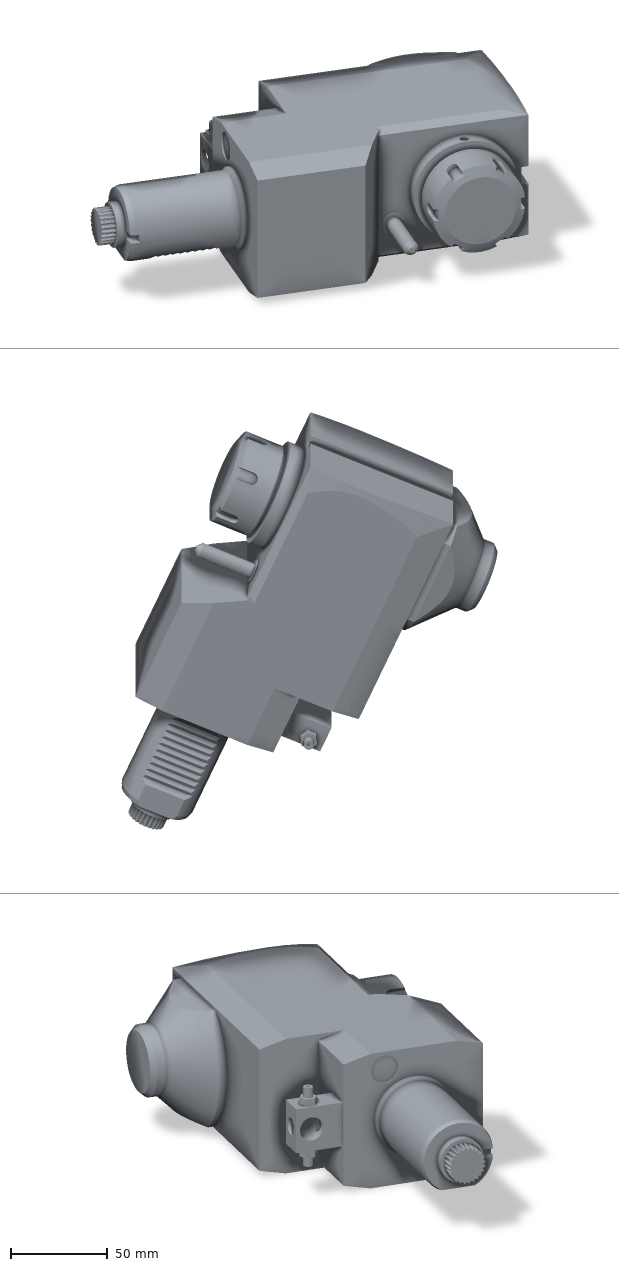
import cadquery as cq
import math


HEIGHT = 75.0
HALF_HEIGHT = HEIGHT / 2
BACK_Y = 156.0
STEP_Y = 35.0
HEAD_LEFT_X = -71.5
HEAD_RIGHT_X = 9.0
FOOT_HALF_WIDTH = 38.8
SHOULDER_HEAD_Y = 74.8
SHOULDER_FOOT_Y = 58.5
BEVEL_WIDTH = 14.8
BEVEL_DROP = 3.7
HEAD_RIGHT_BEVEL_WIDTH = 4.2
HEAD_RIGHT_BEVEL_DROP = 3.0
CROWN_LEFT_RADIUS = 439.0
CROWN_RIGHT_RADIUS = 173.2
CROWN_PEAK_X = -19.2
CROWN_DROP = 0.7
CROWN_TAPER = 0.18
KEYWAY_WIDTH = 10.0
KEYWAY_DEPTH = 3.7

SPINDLE_Y = 120.0

CAP_RADIUS = 40.0
CAP_RIM = 4.2
CAP_NECK_RADIUS = 19.2
CAP_NECK_LENGTH = 5.8
CAP_CHAMFER = 2.5
CAP_END_LENGTH = 2.8
CAP_HALF_HEIGHT = 32.3
CAP_FACET_SLOPE = 0.25
CAP_BACK_Y = 151.5

COLLAR_RADIUS = 28.2
COLLAR_END_X = 16.9
COLLAR_HOLE_X = 13.2
COLLAR_HOLE_RADIUS = 2.5
COLLAR_HOLE_DEPTH = 4.6
NECK_RADIUS = 21.7
NUT_RADIUS = 25.0
NUT_START_X = 18.5
NUT_BEVEL = 1.0
NUT_ROUND_X = 39.3
NUT_END_X = 41.5
NUT_FACE_RADIUS = 19.2
NUT_SLOT_COUNT = 6
NUT_SLOT_WIDTH = 6.5
NUT_SLOT_DEPTH = 2.8
NUT_SLOT_START_X = 28.5

PIN_Y = 83.0
PIN_Z = -17.3
PIN_RADIUS = 4.0
PIN_END_X = 41.3
PIN_CHAMFER = 2.3
PIN_COLLAR_RADIUS = 6.2
PIN_COLLAR_LENGTH = 0.7

SHANK_RADIUS = 20.0
SHANK_LENGTH = 62.8
SHANK_CHAMFER_LENGTH = 2.8
SHANK_CHAMFER = 1.0
FLANGE_RADIUS = 21.7
FLANGE_LENGTH = 1.8
FLANGE_TAPER_LENGTH = 1.5
JOURNAL_RADIUS = 12.0
JOURNAL_LENGTH = 4.6
SPLINE_RADIUS = 10.0
SPLINE_ROOT_RADIUS = 9.0
SPLINE_TEETH = 24
SPLINE_END_Y = -75.0
END_SLOT_WIDTH = 4.6
END_SLOT_DEPTH = 5.0
END_POCKET_WIDTH = 3.2
END_POCKET_OUTER_X = 14.8
END_POCKET_DEPTH = 7.5

FLAT_Z = -16.9
RAMP_START_Y = -5.8
TOOTH_ROOT_Z = -14.3
TOOTH_TIP_Z = -15.7
RACK_LENGTH = 36.0
TOOTH_COUNT = 9
TOOTH_PITCH = RACK_LENGTH / TOOTH_COUNT

RECESS_X = -16.0
RECESS_Z = 27.7
RECESS_RADIUS = 7.6
RECESS_DEPTH = 1.0

BLOCK_LEFT_X = -64.7
BLOCK_FRONT_Y = 1.5
BLOCK_BACK_Y = 15.7
BLOCK_HALF_HEIGHT = 12.2
PORT_X = -56.1
PORT_RADIUS = 6.5
PORT_DEPTH = 13.0
SIDE_PORT_Y = 8.8
SIDE_PORT_RADIUS = 4.6
SIDE_PORT_DEPTH = 17.3
DUCT_RADIUS = 1.5
DUCT_DEPTH = 3.5
SCREW_Y = 6.2
SCREW_RADIUS = 2.5
SCREW_OUTER_Z = 22.0
SCREW_NUT_DIAMETER = 9.2
SCREW_NUT_HEIGHT = 4.2
SOCKET_DIAMETER = 2.8
SOCKET_DEPTH = 1.8


def box(x0, x1, y0, y1, z0, z1):
    """Box between two opposite corners."""
    return cq.Workplane("XY").box(x1 - x0, y1 - y0, z1 - z0, centered=False).translate((x0, y0, z0))


def rod_x(radius, x0, x1, y, z):
    """Cylinder along X."""
    return cq.Workplane("YZ", origin=(x0, y, z)).circle(radius).extrude(x1 - x0)


def rod_y(radius, y0, y1, x, z):
    """Cylinder along Y."""
    return cq.Workplane("XZ", origin=(x, y1, z)).circle(radius).extrude(y1 - y0)


def bevelled_prism(left, right, right_bevel_width, right_bevel_drop, y0, y1):
    """Block along Y with bevelled long edges; only the right-hand bevels differ between blocks."""
    upper = [
        (left, HALF_HEIGHT - BEVEL_DROP),
        (left + BEVEL_WIDTH, HALF_HEIGHT),
        (right - right_bevel_width, HALF_HEIGHT),
        (right, HALF_HEIGHT - right_bevel_drop),
    ]
    lower = [(x, -z) for x, z in reversed(upper)]
    return cq.Workplane("XZ", origin=(0, y1, 0)).polyline(upper + lower).close().extrude(y1 - y0)


def crown_cone(radius, side):
    """Wide cone along Y whose top line, at the crown's peak, falls gently towards the rear."""
    center_z = side * (HALF_HEIGHT - CROWN_DROP - radius)
    cone = cq.Solid.makeCone(
        radius + CROWN_TAPER * BACK_Y,
        radius,
        BACK_Y,
        pnt=cq.Vector(CROWN_PEAK_X, 0, center_z),
        dir=cq.Vector(0, 1, 0),
    )
    return cq.Workplane(cone)


def crowned(head):
    """Round off the rear of the upper and lower faces, flatter left of the peak than right of it."""
    left = head.intersect(box(HEAD_LEFT_X, CROWN_PEAK_X, 0, BACK_Y, -HALF_HEIGHT, HALF_HEIGHT))
    right = head.intersect(box(CROWN_PEAK_X, HEAD_RIGHT_X, 0, BACK_Y, -HALF_HEIGHT, HALF_HEIGHT))
    for side in (1, -1):
        left = left.intersect(crown_cone(CROWN_LEFT_RADIUS, side))
        right = right.intersect(crown_cone(CROWN_RIGHT_RADIUS, side))
    return left.union(right)


def make_housing():
    head = bevelled_prism(
        HEAD_LEFT_X, HEAD_RIGHT_X, HEAD_RIGHT_BEVEL_WIDTH, HEAD_RIGHT_BEVEL_DROP, STEP_Y, BACK_Y
    )
    keyway_half = KEYWAY_WIDTH / 2
    keyway = box(HEAD_LEFT_X, HEAD_RIGHT_X, BACK_Y - KEYWAY_DEPTH, BACK_Y, -keyway_half, keyway_half)
    head = crowned(head).cut(keyway)

    foot = bevelled_prism(
        -FOOT_HALF_WIDTH, FOOT_HALF_WIDTH, BEVEL_WIDTH, BEVEL_DROP, 0, SHOULDER_HEAD_Y
    )
    shoulder_cut = (
        cq.Workplane("XY")
        .polyline(
            [
                (HEAD_RIGHT_X, SHOULDER_HEAD_Y),
                (FOOT_HALF_WIDTH, SHOULDER_FOOT_Y),
                (FOOT_HALF_WIDTH, SHOULDER_HEAD_Y),
            ]
        )
        .close()
        .extrude(HALF_HEIGHT, both=True)
    )
    recess = rod_y(RECESS_RADIUS, 0, RECESS_DEPTH, RECESS_X, RECESS_Z)
    return head.union(foot.cut(shoulder_cut)).cut(recess)


def revolve_about_spindle(outline):
    """Turn an (x, radius) outline, whose last side is the spindle axis."""
    return outline.close().revolve(360, (0, 0, 0), (1, 0, 0)).translate((0, SPINDLE_Y, 0))


def make_cap():
    """Conical rear cap, cut back by sloping facets above and below and trimmed flat at the back."""
    rim_x = HEAD_LEFT_X - CAP_RIM
    neck_x = rim_x - (CAP_RADIUS - CAP_NECK_RADIUS)
    chamfer_x = neck_x - CAP_NECK_LENGTH
    end_x = chamfer_x - CAP_END_LENGTH
    cap = revolve_about_spindle(
        cq.Workplane("XY").polyline(
            [
                (HEAD_LEFT_X, 0),
                (HEAD_LEFT_X, CAP_RADIUS),
                (rim_x, CAP_RADIUS),
                (neck_x, CAP_NECK_RADIUS),
                (chamfer_x, CAP_NECK_RADIUS),
                (end_x, CAP_NECK_RADIUS - CAP_CHAMFER),
                (end_x, 0),
            ]
        )
    )
    end_half_height = CAP_HALF_HEIGHT - CAP_FACET_SLOPE * (rim_x - end_x)
    upper = [(end_x, end_half_height), (rim_x, CAP_HALF_HEIGHT), (HEAD_LEFT_X, CAP_HALF_HEIGHT)]
    lower = [(x, -z) for x, z in reversed(upper)]
    envelope = cq.Workplane("XZ", origin=(0, CAP_BACK_Y, 0)).polyline(upper + lower).close()
    return cap.intersect(envelope.extrude(CAP_BACK_Y - SPINDLE_Y + CAP_RADIUS))


def nut_slot(angle):
    """Round-ended wrench slot, open at the nut's face."""
    half_width = NUT_SLOT_WIDTH / 2
    floor = NUT_RADIUS - NUT_SLOT_DEPTH
    end_center_x = NUT_SLOT_START_X + half_width
    slot = (
        cq.Workplane("XY", origin=(0, 0, floor))
        .moveTo(NUT_END_X, -half_width)
        .lineTo(end_center_x, -half_width)
        .threePointArc((NUT_SLOT_START_X, 0), (end_center_x, half_width))
        .lineTo(NUT_END_X, half_width)
        .close()
        .extrude(2 * NUT_SLOT_DEPTH)
    )
    return slot.rotate((0, 0, 0), (1, 0, 0), angle).translate((0, SPINDLE_Y, 0))


def make_collet_nut():
    """Collar, neck and slotted clamping nut on the spindle."""
    nose = revolve_about_spindle(
        cq.Workplane("XY")
        .moveTo(HEAD_RIGHT_X, 0)
        .lineTo(HEAD_RIGHT_X, COLLAR_RADIUS)
        .lineTo(COLLAR_END_X, COLLAR_RADIUS)
        .lineTo(COLLAR_END_X, NECK_RADIUS)
        .lineTo(NUT_START_X, NECK_RADIUS)
        .lineTo(NUT_START_X, NUT_RADIUS - NUT_BEVEL)
        .lineTo(NUT_START_X + NUT_BEVEL, NUT_RADIUS)
        .lineTo(NUT_ROUND_X, NUT_RADIUS)
        .lineTo(NUT_END_X, NUT_FACE_RADIUS)
        .lineTo(NUT_END_X, 0)
    )
    slot_spacing = 360 / NUT_SLOT_COUNT
    for index in range(NUT_SLOT_COUNT):
        nose = nose.cut(nut_slot((index + 0.5) * slot_spacing))
    spanner_hole = (
        cq.Workplane("XY", origin=(COLLAR_HOLE_X, SPINDLE_Y, COLLAR_RADIUS - COLLAR_HOLE_DEPTH))
        .circle(COLLAR_HOLE_RADIUS)
        .extrude(2 * COLLAR_HOLE_DEPTH)
    )
    return nose.cut(spanner_hole)


def make_pin():
    collar = rod_x(PIN_COLLAR_RADIUS, HEAD_RIGHT_X, HEAD_RIGHT_X + PIN_COLLAR_LENGTH, PIN_Y, PIN_Z)
    pin = rod_x(PIN_RADIUS, HEAD_RIGHT_X, PIN_END_X, PIN_Y, PIN_Z)
    return pin.faces(">X").chamfer(PIN_CHAMFER).union(collar)


def end_cut(outer_x, width, depth):
    """Cut into the end face of the shank, running outwards in +X from the journal."""
    return box(JOURNAL_RADIUS, outer_x, -SHANK_LENGTH, depth - SHANK_LENGTH, -width / 2, width / 2)


def make_shank():
    """Turned shank with its flange, end journal and splined tip."""
    chamfer_y = SHANK_CHAMFER_LENGTH - SHANK_LENGTH
    journal_y = -SHANK_LENGTH - JOURNAL_LENGTH
    shank = (
        cq.Workplane("XY")
        .polyline(
            [
                (0, 0),
                (FLANGE_RADIUS, 0),
                (FLANGE_RADIUS, -FLANGE_LENGTH),
                (SHANK_RADIUS, -FLANGE_LENGTH - FLANGE_TAPER_LENGTH),
                (SHANK_RADIUS, chamfer_y),
                (SHANK_RADIUS - SHANK_CHAMFER, -SHANK_LENGTH),
                (JOURNAL_RADIUS, -SHANK_LENGTH),
                (JOURNAL_RADIUS, journal_y),
                (0, journal_y),
            ]
        )
        .close()
        .revolve(360, (0, 0, 0), (0, 1, 0))
    )
    end_slot = end_cut(SHANK_RADIUS, END_SLOT_WIDTH, END_SLOT_DEPTH)
    end_pocket = end_cut(END_POCKET_OUTER_X, END_POCKET_WIDTH, END_POCKET_DEPTH)
    shank = shank.cut(end_slot).cut(end_pocket).cut(rack_cutter())
    return shank.union(spline_tip(journal_y))


def rack_cutter():
    """Material below the toothed flat: a 45 degree ramp, V teeth, then a plain flat."""
    clearance_z = -2 * SHANK_RADIUS
    first_root_y = RAMP_START_Y - (TOOTH_ROOT_Z + SHANK_RADIUS)
    points = [(RAMP_START_Y, clearance_z), (RAMP_START_Y, -SHANK_RADIUS)]
    for index in range(TOOTH_COUNT):
        root_y = first_root_y - index * TOOTH_PITCH
        points.append((root_y, TOOTH_ROOT_Z))
        points.append((root_y - TOOTH_PITCH / 2, TOOTH_TIP_Z))
    last_root_y = first_root_y - RACK_LENGTH
    points.append((last_root_y, TOOTH_ROOT_Z))
    points.append((last_root_y - (TOOTH_ROOT_Z - FLAT_Z), FLAT_Z))
    points.append((-SHANK_LENGTH, FLAT_Z))
    points.append((-SHANK_LENGTH, clearance_z))
    return cq.Workplane("YZ").polyline(points).close().extrude(SHANK_RADIUS, both=True)


def spline_tip(start_y):
    """Fine spline of flat-topped teeth at the end of the shank."""
    tooth_corners = [SPLINE_ROOT_RADIUS, SPLINE_RADIUS, SPLINE_RADIUS, SPLINE_ROOT_RADIUS]
    corner_count = SPLINE_TEETH * len(tooth_corners)
    points = []
    for index in range(corner_count):
        radius = tooth_corners[index % len(tooth_corners)]
        angle = 2 * math.pi * index / corner_count
        points.append((radius * math.cos(angle), radius * math.sin(angle)))
    tip = cq.Workplane("XZ", origin=(0, start_y, 0)).polyline(points).close()
    return tip.extrude(start_y - SPLINE_END_Y)


def clamping_screw(side):
    """Hexagon-socket screw with its nut, above (+1) or below (-1) the coolant block."""
    inner = cq.Workplane("XY", origin=(PORT_X, SCREW_Y, side * BLOCK_HALF_HEIGHT))
    outer = cq.Workplane("XY", origin=(PORT_X, SCREW_Y, side * SCREW_OUTER_Z))
    stud = inner.circle(SCREW_RADIUS).extrude(side * (SCREW_OUTER_Z - BLOCK_HALF_HEIGHT))
    socket = outer.polygon(6, SOCKET_DIAMETER).extrude(-side * SOCKET_DEPTH)
    nut = inner.polygon(6, SCREW_NUT_DIAMETER).extrude(side * SCREW_NUT_HEIGHT)
    return stud.cut(socket).union(nut)


def make_coolant_block():
    block = box(
        BLOCK_LEFT_X,
        -FOOT_HALF_WIDTH,
        BLOCK_FRONT_Y,
        BLOCK_BACK_Y,
        -BLOCK_HALF_HEIGHT,
        BLOCK_HALF_HEIGHT,
    )
    port = rod_y(PORT_RADIUS, BLOCK_FRONT_Y, BLOCK_FRONT_Y + PORT_DEPTH, PORT_X, 0)
    side_port_end_x = BLOCK_LEFT_X + SIDE_PORT_DEPTH
    side_port = rod_x(SIDE_PORT_RADIUS, BLOCK_LEFT_X, side_port_end_x, SIDE_PORT_Y, 0)
    duct = rod_x(DUCT_RADIUS, side_port_end_x, side_port_end_x + DUCT_DEPTH, SIDE_PORT_Y, 0)
    block = block.cut(port).cut(side_port).cut(duct)
    for side in (1, -1):
        block = block.union(clamping_screw(side))
    return block


result = make_housing()
for attachment in (make_cap(), make_collet_nut(), make_pin(), make_shank(), make_coolant_block()):
    result = result.union(attachment)